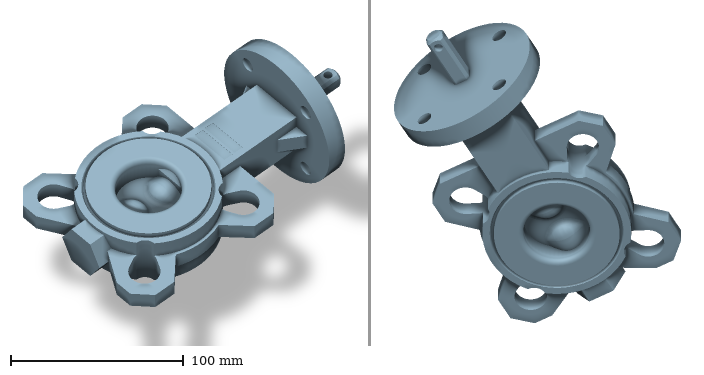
import cadquery as cq
import math


overall_length = 203.5

body_radius = 43.1
body_height = 32.5
liner_radius = 36.5
liner_height = 35.0
throat_radius = 19.3
mouth_rounding = 3.0
groove_top_radius = 38.9
groove_floor_radius = 37.9
groove_depth = 2.0

plate_thickness = 10.5
plate_ring_radius = 45.0
lug_span = 113.0
lug_reach = lug_span / 2
lug_corner_width = 10.5
lug_corner_length = 10.0
lug_side_end = 31.5
lug_foot_inner = 34.4
lug_foot_angle = 30
lug_hole_place = 38.9
lug_hole_radius = 9.4
lug_slot_place = 33.8
lug_slot_radius = 7.1

flange_radius = 45.0
flange_thickness = 12.5
flange_top = 113.1
flange_bottom = flange_top - flange_thickness
flange_hole_spacing = 49.5
flange_hole_diameter = 9.0
neck_width = 33.8
neck_depth = 27.7
neck_root = 30.5
gusset_reach = 26.0
gusset_length = 15.0
label_width = 25.5
label_height = 6.3
label_places = (51.0, 59.0)
label_depth = 0.2

stem_tip = overall_length - lug_reach
stem_radius = 6.3
stem_across_flats = 10.5
stem_chamfer = 1.93
pin_hole_diameter = 5.3
pin_hole_place = 141.0

hex_across_flats = 27.7
hex_end = 53.1

disc_thickness = 4.9
hub_height = 8.8
hub_crown_radius = 11.4
hub_flank_angle = 35
hub_root = 1.0
hub_nose_place = 10.8
hub_fillet = 3.3
hub_outer_end = 24.5
selection_margin = 0.2
seat_place = 16.7
seat_edge_height = 11.0
seat_slope_end = 13.8


def cylinder(radius, height):
    """Cylinder on the Z axis, centred on the bore."""
    return cq.Workplane("XY").circle(radius).extrude(height / 2, both=True)


def prism_along_y(sketch, start, end):
    """Extrude an XZ section from y = start to y = end."""
    return sketch.extrude(start - end).translate((0, start, 0))


def make_plate():
    """Four clipped lugs joined by a round ring."""
    lug_end_width = lug_reach - lug_corner_width
    lug_side_start = lug_reach - lug_corner_length
    foot_rise = lug_foot_inner * math.tan(math.radians(lug_foot_angle))
    outline = [
        (0, lug_reach),
        (lug_end_width, lug_reach),
        (lug_reach, lug_side_start),
        (lug_reach, lug_side_end),
        (lug_reach - lug_side_end, 0),
        (lug_reach, -lug_side_end),
        (lug_reach, -lug_side_start),
        (lug_end_width, -lug_reach),
        (lug_foot_inner, -lug_reach),
        (0, foot_rise - lug_reach),
    ]
    half = cq.Workplane("XY").polyline(outline).close().extrude(plate_thickness / 2, both=True)
    return half.union(half.mirror("YZ")).union(cylinder(plate_ring_radius, plate_thickness))


def make_lug_slots():
    """Tapered bolt slots on the diagonals: a large circle and a smaller inner one with common tangents."""
    outer = lug_hole_place * math.sqrt(2)
    inner = lug_slot_place * math.sqrt(2)
    tilt = math.acos((lug_hole_radius - lug_slot_radius) / (outer - inner))

    def tangent_point(centre, radius, side):
        return (centre - radius * math.cos(tilt), side * radius * math.sin(tilt))

    slot = (
        cq.Workplane("XY")
        .moveTo(*tangent_point(outer, lug_hole_radius, -1))
        .threePointArc((outer + lug_hole_radius, 0), tangent_point(outer, lug_hole_radius, 1))
        .lineTo(*tangent_point(inner, lug_slot_radius, 1))
        .threePointArc((inner - lug_slot_radius, 0), tangent_point(inner, lug_slot_radius, -1))
        .close()
        .extrude(body_height, both=True)
    )
    slots = cq.Workplane("XY")
    for angle in (45, 135, 225, 315):
        slots = slots.add(slot.rotate((0, 0, 0), (0, 0, 1), angle))
    return slots.combine()


def make_liner():
    """Liner disc together with the tapered groove that surrounds each of its faces."""
    face = body_height / 2
    groove = (
        cq.Workplane("XZ")
        .moveTo(0, face)
        .lineTo(groove_top_radius, face)
        .lineTo(groove_floor_radius, face - groove_depth)
        .lineTo(0, face - groove_depth)
        .close()
        .revolve(360, (0, 0, 0), (0, 1, 0))
    )
    liner = cylinder(liner_radius, liner_height)
    return liner, groove.union(groove.mirror("XY"))


def make_flange():
    """Actuator flange with four bolt holes on a square."""
    flange = prism_along_y(cq.Workplane("XZ").circle(flange_radius), flange_bottom, flange_top)
    holes = prism_along_y(
        cq.Workplane("XZ")
        .rarray(flange_hole_spacing, flange_hole_spacing, 2, 2)
        .circle(flange_hole_diameter / 2),
        flange_bottom,
        flange_top,
    )
    return flange.cut(holes)


def make_neck():
    """Rectangular neck with sunk label panels on its upper face and a gusset on each side."""
    neck = prism_along_y(cq.Workplane("XZ").rect(neck_width, neck_depth), neck_root, flange_bottom)
    panels = (
        cq.Workplane("XY")
        .workplane(offset=neck_depth / 2 - label_depth)
        .pushPoints([(0, y) for y in label_places])
        .rect(label_width, label_height)
        .extrude(label_depth)
    )
    gussets = (
        cq.Workplane("XY")
        .moveTo(-gusset_reach, flange_bottom)
        .lineTo(gusset_reach, flange_bottom)
        .lineTo(neck_width / 2, flange_bottom - gusset_length)
        .lineTo(-neck_width / 2, flange_bottom - gusset_length)
        .close()
        .extrude(plate_thickness / 2, both=True)
    )
    return neck.cut(panels).union(gussets)


def make_stem():
    """Round stem with four flats, a conical tip and a cross pin hole."""
    length = stem_tip - flange_bottom
    stem = prism_along_y(cq.Workplane("XZ").circle(stem_radius), flange_bottom, stem_tip)
    stem = stem.faces(">Y").chamfer(stem_chamfer)
    flats = cq.Workplane("XY").box(stem_across_flats, length, stem_across_flats)
    flats = flats.translate((0, flange_bottom + length / 2, 0))
    pin_hole = cylinder(pin_hole_diameter / 2, stem_across_flats).translate((0, pin_hole_place, 0))
    return stem.intersect(flats).cut(pin_hole)


def make_plug():
    """Hexagonal plug at -Y with two corners on the lug plate's mid-plane."""
    hex_across_corners = hex_across_flats / math.cos(math.radians(30))
    return prism_along_y(cq.Workplane("XZ").polygon(6, hex_across_corners), -hex_end, -neck_root)


def make_bore():
    """Bore with rounded mouths and one flat seat at +Y, sloping out below the throat edge."""
    half_height = liner_height / 2
    throat_end = half_height - mouth_rounding
    mouth_radius = throat_radius + mouth_rounding
    bend = mouth_rounding * (1 - math.sqrt(0.5))
    bore = (
        cq.Workplane("XZ")
        .moveTo(0, 0)
        .lineTo(throat_radius, 0)
        .lineTo(throat_radius, throat_end)
        .threePointArc((throat_radius + bend, half_height - bend), (mouth_radius, half_height))
        .lineTo(0, half_height)
        .close()
        .revolve(360, (0, 0, 0), (0, 1, 0))
    )
    seat = (
        cq.Workplane("YZ")
        .moveTo(seat_place, 0)
        .lineTo(seat_place, seat_edge_height)
        .lineTo(throat_radius, seat_slope_end)
        .lineTo(throat_radius, 0)
        .close()
        .extrude(throat_radius, both=True)
    )
    bore = bore.cut(seat)
    return bore.union(bore.mirror("XY"))


def make_hub():
    """Upper half of the +Y hub: a round crown with tangent flanks and a turned nose at its inner end."""
    flank = math.radians(hub_flank_angle)
    tangent_x = hub_crown_radius * math.sin(flank)
    tangent_z = hub_height - hub_crown_radius * (1 - math.cos(flank))
    foot_x = tangent_x + (tangent_z - hub_root) / math.tan(flank)

    def section():
        return (
            cq.Workplane("XZ")
            .moveTo(-foot_x, hub_root)
            .lineTo(-tangent_x, tangent_z)
            .threePointArc((0, hub_height), (tangent_x, tangent_z))
            .lineTo(foot_x, hub_root)
            .close()
        )

    straight = prism_along_y(section(), hub_nose_place, hub_outer_end)
    nose = section().revolve(90, (-2, hub_root, 0), (2, hub_root, 0))
    return straight.union(nose.translate((0, hub_nose_place, 0)))


def make_disc():
    """Flat disc with a filleted hub at each end of both faces, trimmed to sit inside the liner."""
    slab_width = 2 * hub_outer_end
    half = cq.Workplane("XY").box(slab_width, slab_width, disc_thickness / 2, centered=(True, True, False))
    hub = make_hub()
    half = half.union(hub).union(hub.mirror("XZ"))
    inside = hub_outer_end - selection_margin
    hub_feet = cq.selectors.BoxSelector(
        (-inside, -inside, disc_thickness / 2 - selection_margin),
        (inside, inside, disc_thickness / 2 + selection_margin),
    )
    half = half.edges(hub_feet).fillet(hub_fillet)
    disc = half.union(half.mirror("XY"))
    return disc.intersect(cylinder(hub_outer_end, hub_height * 2))


barrel = cylinder(body_radius, body_height).union(make_plate())
barrel = barrel.union(make_neck()).union(make_plug())
barrel = barrel.cut(make_lug_slots())
liner, liner_grooves = make_liner()
barrel = barrel.cut(liner_grooves).union(liner).cut(make_bore())

result = barrel.union(make_disc()).union(make_flange()).union(make_stem())